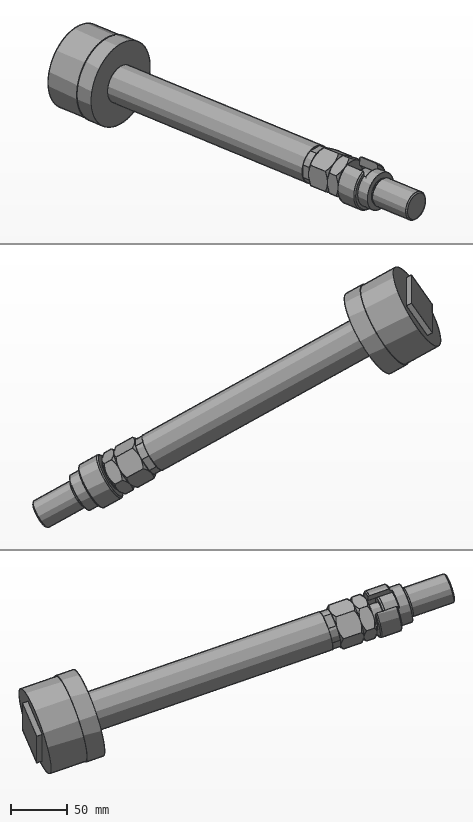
import cadquery as cq
import math

HEAD_FRONT = 5.2
HEAD_JOINT = 39.5
HEAD_BACK = 56.2
STEM_END = 283.0
HEX_START = 290.5
HEX_JOINT = 312.8
HEX_END = 325.2
SLEEVE_START = 327.2
PLUG_SHOULDER = 335.5
RING_END = 348.0
SLOT_END = 350.0
SLEEVE_END = 359.5
SPIGOT_START = 360.5
PLUG_END = 401.5

HEAD_DIAMETER = 80.5
FLANGE_DIAMETER = 82.0
PLATE_WIDTH = 35.5
PLATE_HEIGHT = 54.2
STEM_DIAMETER = 36.0

COLLAR_DIAMETER = 35.5
COLLAR_ACROSS_FLATS = 33.0
HEX_ACROSS_FLATS = STEM_DIAMETER
HEX_ACROSS_CORNERS = HEX_ACROSS_FLATS / math.cos(math.pi / 6)
HEX_BEVEL_LENGTH = 2.5

RING_DIAMETER = 44.0
RING_CHAMFER = 1.2
SLEEVE_DIAMETER = STEM_DIAMETER
SLOT_WIDTH = 18.5

NECK_DIAMETER = 18.5
SHOULDER_DIAMETER = 29.0
SHOULDER_CHAMFER = 1.5
SPIGOT_DIAMETER = 27.5
SPIGOT_CHAMFER = 1.2
SPIGOT_ROOT_DIAMETER = SPIGOT_DIAMETER - 2 * SPIGOT_CHAMFER


def cylinder(diameter, start, end):
    """Solid cylinder on the X axis between two stations."""
    return cq.Workplane("YZ", origin=(start, 0, 0)).circle(diameter / 2).extrude(end - start)


def make_head():
    """Front disc of the round head with its raised rectangular plate."""
    disc = cylinder(HEAD_DIAMETER, HEAD_FRONT, HEAD_JOINT)
    plate = cq.Workplane("YZ").rect(PLATE_WIDTH, PLATE_HEIGHT).extrude(HEAD_FRONT)
    return disc.union(plate)


def make_stem():
    """Back flange of the round head with the long stem."""
    flange = cylinder(FLANGE_DIAMETER, HEAD_JOINT, HEAD_BACK)
    return flange.union(cylinder(STEM_DIAMETER, HEAD_BACK, STEM_END))


def bevelled_hexagon(start, end):
    """Hexagon with corners at +Z and -Z, its corners bevelled by a cone at both ends."""
    prism = (
        cq.Workplane("YZ", origin=(start, 0, 0))
        .transformed(rotate=(0, 0, 90))
        .polygon(6, HEX_ACROSS_CORNERS)
        .extrude(end - start)
    )
    flat_radius = HEX_ACROSS_FLATS / 2
    corner_radius = HEX_ACROSS_CORNERS / 2
    envelope = (
        cq.Workplane("XY")
        .moveTo(start, 0)
        .lineTo(start, flat_radius)
        .lineTo(start + HEX_BEVEL_LENGTH, corner_radius)
        .lineTo(end - HEX_BEVEL_LENGTH, corner_radius)
        .lineTo(end, flat_radius)
        .lineTo(end, 0)
        .close()
        .revolve(360, (0, 0, 0), (1, 0, 0))
    )
    return prism.intersect(envelope)


def make_gland():
    """Collar with four wrench flats, followed by the longer hexagon."""
    length = HEX_START - STEM_END
    square = (
        cq.Workplane("YZ", origin=(STEM_END, 0, 0))
        .rect(COLLAR_ACROSS_FLATS, COLLAR_ACROSS_FLATS)
        .extrude(length)
    )
    collar = cylinder(COLLAR_DIAMETER, STEM_END, HEX_START).intersect(square)
    return collar.union(bevelled_hexagon(HEX_START, HEX_JOINT))


def make_gland_nut():
    """Shorter hexagon, seated against the gland."""
    return bevelled_hexagon(HEX_JOINT, HEX_END)


def make_sleeve():
    """Ring and collar around the plug, with a slot along the top that is open at the ring end."""
    ring = cylinder(RING_DIAMETER, SLEEVE_START, RING_END).edges().chamfer(RING_CHAMFER)
    collar = cylinder(SLEEVE_DIAMETER, RING_END, SLEEVE_END)
    shoulder_bore = cylinder(SHOULDER_DIAMETER, SLEEVE_START, SLOT_END)
    root_bore = cylinder(SPIGOT_ROOT_DIAMETER, SLOT_END, SLEEVE_END)
    slot = (
        cq.Workplane("XY")
        .moveTo((SLEEVE_START + SLOT_END) / 2, 0)
        .rect(SLOT_END - SLEEVE_START, SLOT_WIDTH)
        .extrude(RING_DIAMETER)
    )
    return ring.union(collar).cut(shoulder_bore).cut(root_bore).cut(slot)


def make_plug():
    """Neck, shoulder and spigot joined as one piece that runs through the sleeve."""
    neck = cylinder(NECK_DIAMETER, HEX_END, PLUG_SHOULDER)
    shoulder = cylinder(SHOULDER_DIAMETER, PLUG_SHOULDER, SLOT_END)
    shoulder = shoulder.faces("<X").chamfer(SHOULDER_CHAMFER)
    root = cylinder(SPIGOT_ROOT_DIAMETER, SLOT_END, SPIGOT_START)
    spigot = cylinder(SPIGOT_DIAMETER, SPIGOT_START, PLUG_END).edges().chamfer(SPIGOT_CHAMFER)
    return neck.union(shoulder).union(root).union(spigot)


head = make_head()
stem = make_stem()
gland = make_gland()
gland_nut = make_gland_nut()
sleeve = make_sleeve()
plug = make_plug()

result = cq.Compound.makeCompound(
    [head.val(), stem.val(), gland.val(), gland_nut.val(), sleeve.val(), plug.val()]
)